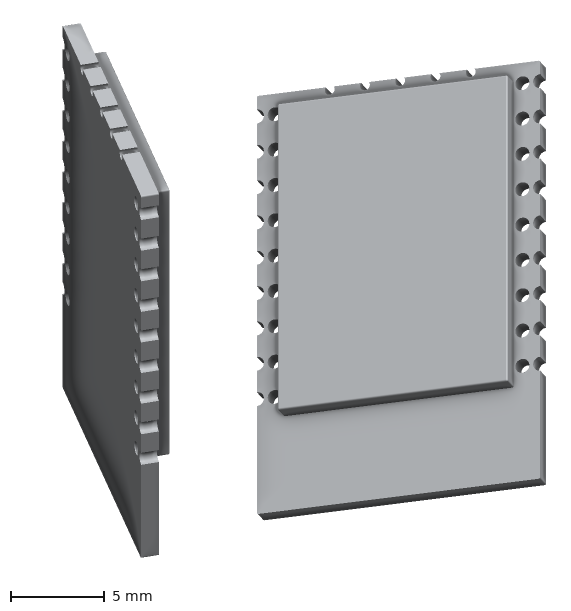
import cadquery as cq

board_width = 16.0
board_height = 24.0
board_thickness = 0.98
board_corner_radius = 0.1

total_thickness = 2.0
shield_width = 13.0
shield_height = 17.57
shield_top_gap = 1.0
shield_edge_radius = 0.1

pad_rows = 9
first_pad_drop = 1.18
last_pad_drop = 17.4
pad_pitch = (last_pad_drop - first_pad_drop) / (pad_rows - 1)
pad_diameter = 0.8
hole_inset = 1.0

top_notch_count = 5
top_notch_pitch = 2.0
top_notch_row_shift = -0.1
top_notch_diameter = 0.55
top_notch_drop = 0.17

board_left = -board_width / 2
board_right = board_width / 2
board_top = board_height / 2


def cylinders_through_board(centers, diameter):
    """Cylinders along Y through the board thickness at the given (x, z) centers."""
    plane = cq.Workplane("XZ").pushPoints(centers)
    return plane.circle(diameter / 2).extrude(-board_thickness)


def make_board():
    board = cq.Workplane("XY").box(
        board_width, board_thickness, board_height, centered=(True, False, True)
    )
    return board.edges("|Y").fillet(board_corner_radius)


def make_shield():
    shield_center_z = board_top - shield_top_gap - shield_height / 2
    shield = cq.Workplane("XY").box(
        shield_width, total_thickness - board_thickness, shield_height, centered=(True, False, True)
    )
    shield = shield.edges("|Y or >Y").fillet(shield_edge_radius)
    return shield.translate((0, board_thickness, shield_center_z))


def pad_centers():
    columns = (board_left, board_left + hole_inset, board_right - hole_inset, board_right)
    first_row_z = board_top - first_pad_drop
    return [(x, first_row_z - row * pad_pitch) for x in columns for row in range(pad_rows)]


def top_notch_centers():
    first_x = top_notch_row_shift - top_notch_pitch * (top_notch_count - 1) / 2
    notch_z = board_top - top_notch_drop
    return [(first_x + i * top_notch_pitch, notch_z) for i in range(top_notch_count)]


board = make_board()
board = board.cut(cylinders_through_board(pad_centers(), pad_diameter))
board = board.cut(cylinders_through_board(top_notch_centers(), top_notch_diameter))

result = board.union(make_shield())